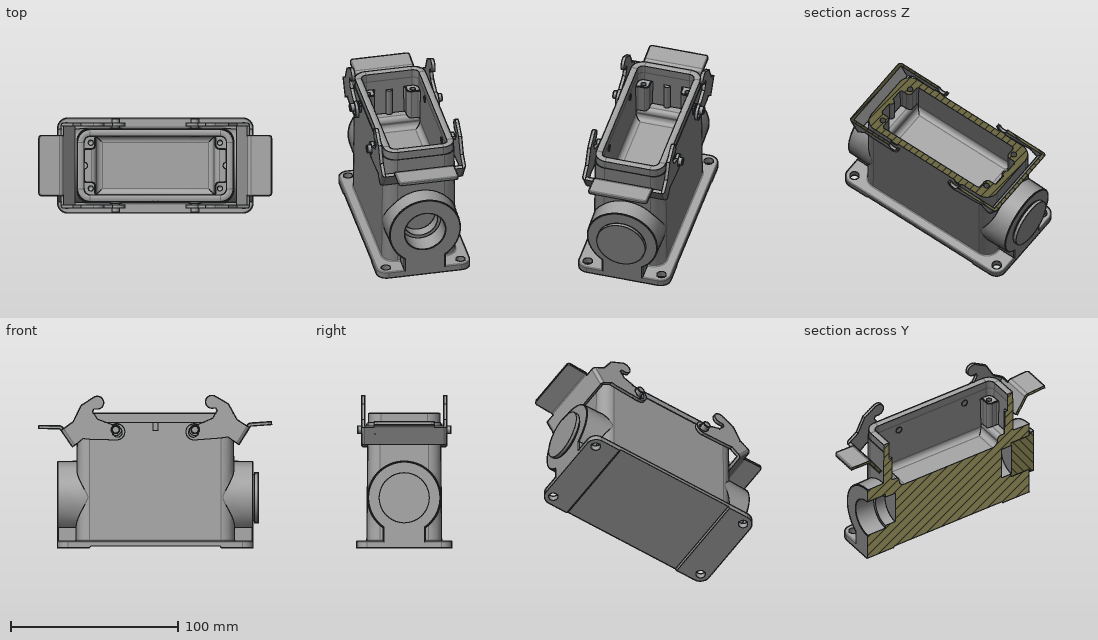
import cadquery as cq
import math

OVERALL_LENGTH = 139.4

BASE_LENGTH = 117.0
BASE_WIDTH = 57.0
BASE_THICKNESS = 4.2
BASE_CORNER_RADIUS = 6.3
BASE_EDGE_FILLET = 0.5
BASE_RELIEF_LENGTH = 77.2
BASE_RELIEF_HEIGHT = 1.0
MOUNT_HOLE_DIAMETER = 5.6
MOUNT_HOLE_X = 53.0
MOUNT_HOLE_Y = 22.9

BODY_LENGTH = 94.8
BODY_WIDTH = 44.9
BODY_TOP = 75.1
BODY_CORNER_RADIUS = 8.1
DRAFT_ANGLE = 0.55
ROOT_FILLET = 0.5
RIM_LENGTH = 93.0
RIM_WIDTH = 42.9
RIM_CORNER_RADIUS = 7.5
RIM_TOP = 80.7
RIM_CROWN = 0.4
WALL = 3.9

LEDGE_Z = 51.8
FLOOR_Z = 44.9
TRAY_LENGTH = 70.5
TRAY_FILLET = 3.5
LEDGE_FILLET = 3.0

POST_TOP = 69.4
POST_HOLE_DIAMETER = 3.0
POST_HOLE_DEPTH = 8.4
DRILL_POINT_ANGLE = 118.0
POST_HOLE_X = 38.6
POST_HOLE_Y = 13.7
POST_INNER_X = 35.8
POST_INNER_Y = 9.8
POST_CORNER_RADIUS = 2.5
POST_FLARE_RADIUS = 1.4
POST_CHAMFER = 0.4
RIB_DIAMETER = 4.0
RIB_TOP = 68.3

NOTCH_WIDTH = 3.0
NOTCH_HEIGHT = 4.9
NOTCH_DEPTH = 1.4

ENTRY_Z = 30.0
ENTRY_DIAMETER = 43.5
ENTRY_DRAFT_ANGLE = 1.2
ENTRY_EDGE_CHAMFER = 0.4
ENTRY_INNER_X = 39.6
BORE_DIAMETER = 25.0
BORE_MOUTH_DIAMETER = 25.5
BORE_DEPTH = 13.1
INNER_BORE_DIAMETER = 21.0
INNER_BORE_DEPTH = 7.0
PEDESTAL_WIDTH = 25.4
PEDESTAL_CHAMFER = 0.7

PLUG_NECK_DIAMETER = 28.0
PLUG_NECK_LENGTH = 0.8
PLUG_FLANGE_DIAMETER = 30.0
PLUG_FLANGE_LENGTH = 2.2

PIN_X = 23.7
PIN_Z = 70.7
PIN_DIAMETER = 4.7
PIN_TIP_DIAMETER = 4.0
PIN_SPAN = 56.2
PIN_BOSS_DIAMETER = 7.0
PIN_BOSS_SPAN = 45.2
PIN_RECESS_DEPTH = 0.3

LEVER_WIDTH = 51.0
SHEET = 2.0
LEVER_HEEL = (-25.9, -10.3)
WEB_ANGLE = 55.5
WEB_LENGTH = 12.0
LEVER_EYE_RADIUS = 4.9
LEVER_EYE_CENTER = (0.5, -1.3)
SLOT_DIAMETER = 5.6
SLOT_END = (1.1, -1.7)
HOOK_RADIUS = 3.9
HOOK_CENTER = (-11.0, 16.2)
HANDLE_WIDTH = 36.2
HANDLE_TOP_Z = 2.4
HANDLE_RISE = 0.3
HANDLE_CORNER_RADIUS = 1.8
HANDLE_EDGE_FILLET = 0.5
HANDLE_BEND_RADIUS = 0.8
OPEN_TILT = 2.9

SIDES = (-1, 1)
BASE_END = BASE_LENGTH / 2
TILT = math.radians(OPEN_TILT)
HANDLE_TIP_TOP_Z = HANDLE_TOP_Z + HANDLE_RISE
HANDLE_REACH = ((OVERALL_LENGTH - 2 * PIN_X + (HANDLE_TIP_TOP_Z - SHEET) * math.sin(TILT))
                / (1 + math.cos(TILT)))
DRAFT_SLOPE = math.tan(math.radians(DRAFT_ANGLE))
CAVITY_LENGTH = RIM_LENGTH - 2 * WALL
CAVITY_WIDTH = RIM_WIDTH - 2 * WALL
TRAY_WIDTH = CAVITY_WIDTH - 2 * (BODY_TOP - LEDGE_Z) * DRAFT_SLOPE
CAVITY_CORNER_RADIUS = RIM_CORNER_RADIUS - WALL


def rounded_block(length, width, radius, z, height, taper=0):
    """Block with rounded corners, standing on z (or hanging from it)."""
    outline = cq.Sketch().rect(length, width).vertices().fillet(radius)
    return cq.Workplane("XY", origin=(0, 0, z)).placeSketch(outline).extrude(height, taper=taper)


def x_cylinder(diameter, x, length, side):
    """Cylinder on an entry axis, growing from x away from the middle on the given side."""
    disc = cq.Workplane("YZ", origin=(side * x, 0, ENTRY_Z)).circle(diameter / 2)
    return disc.extrude(side * length)


def x_cone(end_diameter, inner_diameter, length, side):
    """Cone on an entry axis, running inwards from the housing end on the given side."""
    return cq.Workplane(cq.Solid.makeCone(end_diameter / 2, inner_diameter / 2, length,
                                          pnt=cq.Vector(side * BASE_END, 0, ENTRY_Z),
                                          dir=cq.Vector(-side, 0, 0)))


def extrude_y(outline, width):
    """Extrude an XZ outline to the given width, centred on the XZ plane."""
    return outline.extrude(width / 2, both=True)


def y_cylinder(diameter, x, z, span):
    """Cylinder along Y, centred on the XZ plane."""
    disc = cq.Workplane("XZ", origin=(x, 0, z)).circle(diameter / 2)
    return extrude_y(disc, span)



def base_plate():
    plate = rounded_block(BASE_LENGTH, BASE_WIDTH, BASE_CORNER_RADIUS, 0, BASE_THICKNESS)
    plate = plate.faces(">Z").edges().fillet(BASE_EDGE_FILLET)
    half_length = BASE_RELIEF_LENGTH / 2
    relief = extrude_y(
        cq.Workplane("XZ")
        .polyline([
            (-half_length - BASE_RELIEF_HEIGHT, 0),
            (-half_length, BASE_RELIEF_HEIGHT),
            (half_length, BASE_RELIEF_HEIGHT),
            (half_length + BASE_RELIEF_HEIGHT, 0),
        ])
        .close(),
        BASE_WIDTH)
    plate = plate.cut(relief)
    hole_places = [(i * MOUNT_HOLE_X, j * MOUNT_HOLE_Y) for i in SIDES for j in SIDES]
    holes = cq.Workplane("XY").pushPoints(hole_places).circle(MOUNT_HOLE_DIAMETER / 2)
    return plate.cut(holes.extrude(BASE_THICKNESS))


def body_shell():
    """Base plate and drafted body, joined by a small root fillet."""
    body = rounded_block(BODY_LENGTH, BODY_WIDTH, BODY_CORNER_RADIUS, BASE_THICKNESS,
                         BODY_TOP - BASE_THICKNESS, taper=DRAFT_ANGLE)
    shell = base_plate().union(body)
    margin = 0.7
    root_zone = cq.selectors.BoxSelector(
        (-BODY_LENGTH / 2 - margin, -BODY_WIDTH / 2 - margin, BASE_THICKNESS - 0.1),
        (BODY_LENGTH / 2 + margin, BODY_WIDTH / 2 + margin, BASE_THICKNESS + 0.1),
        boundingbox=True)
    return shell.edges(root_zone).fillet(ROOT_FILLET)


def rim():
    """Wall above the step, with a gently crowned top."""
    path = cq.Workplane("XY", origin=(0, 0, BODY_TOP)).placeSketch(
        cq.Sketch().rect(RIM_LENGTH - WALL, RIM_WIDTH - WALL)
        .vertices().fillet(RIM_CORNER_RADIUS - WALL / 2))
    path_wire = path.extrude(1.4).faces("<Z").wires()
    shoulder = RIM_TOP - RIM_CROWN
    section = (
        cq.Workplane("YZ", origin=(0, -(RIM_WIDTH - WALL) / 2, 0))
        .moveTo(-WALL / 2, BODY_TOP)
        .lineTo(WALL / 2, BODY_TOP)
        .lineTo(WALL / 2, shoulder)
        .threePointArc((0, RIM_TOP), (-WALL / 2, shoulder))
        .close()
    )
    return section.sweep(path_wire, transition="round")


def cavity():
    """Drafted pocket down to the end ledges, with a deeper tray in the middle."""
    pocket = rounded_block(CAVITY_LENGTH, CAVITY_WIDTH, CAVITY_CORNER_RADIUS, BODY_TOP,
                           LEDGE_Z - BODY_TOP, taper=DRAFT_ANGLE)
    tray = cq.Workplane("XY", origin=(0, 0, LEDGE_Z)).rect(TRAY_LENGTH, TRAY_WIDTH)
    tray = tray.extrude(FLOOR_Z - LEDGE_Z, taper=DRAFT_ANGLE)
    tray = tray.faces("<Z").edges().fillet(TRAY_FILLET)
    pocket = pocket.union(tray)
    lip_zone = cq.selectors.BoxSelector(
        (-TRAY_LENGTH / 2 - 0.1, -TRAY_WIDTH / 2 + 0.1, LEDGE_Z - 0.1),
        (TRAY_LENGTH / 2 + 0.1, TRAY_WIDTH / 2 - 0.1, LEDGE_Z + 0.1))
    return pocket.edges(lip_zone).edges("|Y").fillet(LEDGE_FILLET)


def cable_entry(side):
    """Drafted round boss on a pedestal at one end."""
    length = BASE_END - ENTRY_INNER_X
    entry_slope = math.tan(math.radians(ENTRY_DRAFT_ANGLE))
    boss = x_cone(ENTRY_DIAMETER, ENTRY_DIAMETER + 2 * length * entry_slope, length, side)
    end_face = ">X" if side > 0 else "<X"
    boss = boss.faces(end_face).edges().chamfer(ENTRY_EDGE_CHAMFER)
    pedestal = cq.Workplane("XY").box(length, PEDESTAL_WIDTH, ENTRY_Z, centered=(True, True, False))
    pedestal = pedestal.translate((side * (BASE_END - length / 2), 0, 0))
    pedestal = pedestal.faces(end_face).edges("|Z").chamfer(PEDESTAL_CHAMFER)
    return boss.union(pedestal)


def entry_bore(side):
    """Bore with a chamfered mouth and a smaller blind bore behind it."""
    chamfer = (BORE_MOUTH_DIAMETER - BORE_DIAMETER) / 2
    mouth = x_cone(BORE_MOUTH_DIAMETER, BORE_DIAMETER, chamfer, side)
    bore = x_cylinder(BORE_DIAMETER, BASE_END, -BORE_DEPTH, side).union(mouth)
    shoulder_x = BASE_END - BORE_DEPTH
    return bore.union(x_cylinder(INNER_BORE_DIAMETER, shoulder_x, -INNER_BORE_DEPTH, side))


def screw_post(x_side, y_side):
    """Post filling one corner of the cavity, with a drilled blind hole."""
    bottom = LEDGE_Z - LEDGE_FILLET
    wall_x = CAVITY_LENGTH / 2
    wall_y = CAVITY_WIDTH / 2
    corner = POST_CORNER_RADIUS
    flare = POST_FLARE_RADIUS
    post = (
        cq.Workplane("XY", origin=(0, 0, bottom))
        .moveTo(POST_INNER_X - flare, wall_y + WALL / 2)
        .lineTo(POST_INNER_X - flare, wall_y)
        .radiusArc((POST_INNER_X, wall_y - flare), flare)
        .lineTo(POST_INNER_X, POST_INNER_Y + corner)
        .radiusArc((POST_INNER_X + corner, POST_INNER_Y), -corner)
        .lineTo(wall_x - flare, POST_INNER_Y)
        .radiusArc((wall_x, POST_INNER_Y - flare), flare)
        .lineTo(wall_x + WALL / 2, POST_INNER_Y - flare)
        .lineTo(wall_x + WALL / 2, wall_y + WALL / 2)
        .close()
        .extrude(POST_TOP - bottom)
        .faces(">Z").edges().chamfer(POST_CHAMFER)
    )
    radius = POST_HOLE_DIAMETER / 2
    tip_depth = radius / math.tan(math.radians(DRILL_POINT_ANGLE / 2))
    drill = (
        cq.Workplane("XZ")
        .polyline([(0, 0), (radius, 0), (radius, -POST_HOLE_DEPTH), (0, -POST_HOLE_DEPTH - tip_depth)])
        .close()
        .revolve(360, (0, 0, 0), (0, 1, 0))
        .translate((POST_HOLE_X, POST_HOLE_Y, POST_TOP))
    )
    post = post.cut(drill)
    if x_side < 0:
        post = post.mirror("YZ")
    if y_side < 0:
        post = post.mirror("XZ")
    return post


def guide_rib(side):
    """Half-round upright on an end wall."""
    disc = cq.Workplane("XY", origin=(side * CAVITY_LENGTH / 2, 0, FLOOR_Z)).circle(RIB_DIAMETER / 2)
    return disc.extrude(RIB_TOP - FLOOR_Z)


def pivot_pins(x):
    """Two aligned pins with bosses, one on each long wall, and the recess behind them."""
    pin = y_cylinder(PIN_DIAMETER, x, PIN_Z, PIN_SPAN)
    pin = pin.faces(">Y or <Y").edges().chamfer((PIN_DIAMETER - PIN_TIP_DIAMETER) / 2)
    boss = y_cylinder(PIN_BOSS_DIAMETER, x, PIN_Z, PIN_BOSS_SPAN)
    clear = cq.Workplane("XY", origin=(x, 0, PIN_Z)).box(
        2 * PIN_BOSS_DIAMETER, RIM_WIDTH - WALL, 2 * PIN_BOSS_DIAMETER)
    recess = y_cylinder(PIN_TIP_DIAMETER, x, PIN_Z, CAVITY_WIDTH + 2 * PIN_RECESS_DEPTH)
    return pin.union(boss).cut(clear), recess


def index_notch():
    y = -BODY_WIDTH / 2 + (BODY_TOP - BASE_THICKNESS) * DRAFT_SLOPE
    return cq.Workplane("XY", origin=(0, y, BODY_TOP - NOTCH_HEIGHT / 2)).box(
        NOTCH_WIDTH, 2 * NOTCH_DEPTH, NOTCH_HEIGHT)


def make_housing():
    housing = body_shell()
    for side in SIDES:
        housing = housing.union(cable_entry(side))
    housing = housing.cut(cavity())
    for side in SIDES:
        housing = housing.cut(entry_bore(side))
        housing = housing.union(guide_rib(side))
        for y_side in SIDES:
            housing = housing.union(screw_post(side, y_side))
        pins, recess = pivot_pins(side * PIN_X)
        housing = housing.union(pins).cut(recess)
    return housing.cut(index_notch()).union(rim())



def make_plug():
    flange_x = BASE_END + PLUG_NECK_LENGTH
    stem = x_cylinder(BORE_DIAMETER, BASE_END, -BORE_DEPTH, 1)
    neck = x_cylinder(PLUG_NECK_DIAMETER, BASE_END, PLUG_NECK_LENGTH, 1)
    flange = x_cylinder(PLUG_FLANGE_DIAMETER, flange_x, PLUG_FLANGE_LENGTH, 1)
    return stem.union(neck).union(flange)



WEB_X = math.cos(math.radians(WEB_ANGLE))
WEB_Z = math.sin(math.radians(WEB_ANGLE))


def web_point(along, depth):
    """Point on the sloping web: along it from the heel, and depth into the sheet."""
    x, z = LEVER_HEEL
    return (x - along * WEB_X + depth * WEB_Z, z + along * WEB_Z + depth * WEB_X)


def web_at_height(z, depth):
    """Point on the web line at the given depth that has height z."""
    start_z = web_point(0, depth)[1]
    return web_point((z - start_z) / WEB_Z, depth)


def side_plates():
    hook_x, hook_z = HOOK_CENTER
    diagonal = HOOK_RADIUS * math.sqrt(0.5)
    eye_x, eye_z = LEVER_EYE_CENTER
    profile = (
        cq.Workplane("XZ")
        .moveTo(*LEVER_HEEL)
        .lineTo(*web_point(WEB_LENGTH, 0))
        .lineTo(-25.5, 4.7)
        .lineTo(-20.8, 14.5)
        .lineTo(hook_x - 2.2, hook_z + math.sqrt(HOOK_RADIUS ** 2 - 2.2 ** 2))
        .threePointArc((hook_x + diagonal, hook_z + diagonal), (hook_x, hook_z - HOOK_RADIUS))
        .lineTo(-13.1, hook_z - HOOK_RADIUS)
        .lineTo(-13.8, 10.7)
        .lineTo(-10.9, 6.3)
        .lineTo(-1.4, 2.8)
        .lineTo(eye_x, eye_z - LEVER_EYE_RADIUS)
        .lineTo(-15.3, -5.7)
        .lineTo(-19.5, -5.3)
        .lineTo(*web_point(0, SHEET))
        .close()
    )
    eye = cq.Workplane("XZ", origin=(eye_x, 0, eye_z)).circle(LEVER_EYE_RADIUS)
    blank = extrude_y(profile, LEVER_WIDTH).union(extrude_y(eye, LEVER_WIDTH))
    slot_x, slot_z = SLOT_END
    slot = (
        cq.Workplane("XZ", origin=(slot_x / 2, 0, slot_z / 2))
        .slot2D(math.hypot(slot_x, slot_z) + SLOT_DIAMETER, SLOT_DIAMETER,
                math.degrees(math.atan2(slot_z, slot_x)))
    )
    gap = cq.Workplane("XY").box(139.4, LEVER_WIDTH - 2 * SHEET, 139.4)
    return blank.cut(extrude_y(slot, LEVER_WIDTH)).cut(gap)


def lever_web():
    corners = [web_point(0, 0), web_point(WEB_LENGTH, 0), web_point(WEB_LENGTH, SHEET), web_point(0, SHEET)]
    return extrude_y(cq.Workplane("XZ").polyline(corners).close(), LEVER_WIDTH)


def lever_handle():
    """Bent grip: short piece of web that turns into a nearly level tongue."""
    tip_x = -HANDLE_REACH
    tip_z = HANDLE_TIP_TOP_Z
    outline = [
        web_point(WEB_LENGTH / 2, 0),
        web_at_height(HANDLE_TOP_Z - SHEET, 0),
        (tip_x, tip_z - SHEET),
        (tip_x, tip_z),
        web_at_height(HANDLE_TOP_Z, SHEET),
        web_point(WEB_LENGTH / 2, SHEET),
    ]
    handle = extrude_y(cq.Workplane("XZ").polyline(outline).close(), HANDLE_WIDTH)
    inner_x, inner_z = outline[1]
    outer_x, outer_z = outline[4]
    handle = handle.edges(cq.NearestToPointSelector((inner_x, 0, inner_z))).fillet(HANDLE_BEND_RADIUS)
    handle = handle.edges(cq.NearestToPointSelector((outer_x, 0, outer_z))).fillet(HANDLE_BEND_RADIUS + SHEET)
    handle = handle.faces("<X").edges("|Z").fillet(HANDLE_CORNER_RADIUS)
    return handle.edges(cq.NearestToPointSelector((tip_x, 0, tip_z))).fillet(HANDLE_EDGE_FILLET)


def make_lever(side):
    lever = side_plates().union(lever_web())
    bend_edges = cq.selectors.ParallelDirSelector(cq.Vector(-WEB_X, 0, WEB_Z))
    lever = lever.edges(bend_edges).edges(">Y or <Y").fillet(SHEET - 0.1)
    lever = lever.union(lever_handle())
    if side > 0:
        lever = lever.mirror("YZ").rotate((0, 0, 0), (0, 1, 0), -OPEN_TILT)
    return lever.translate((side * PIN_X, 0, PIN_Z))


housing = make_housing()
plug = make_plug()
levers = [make_lever(side) for side in SIDES]

result = cq.Compound.makeCompound([housing.val(), plug.val(), *[lever.val() for lever in levers]])